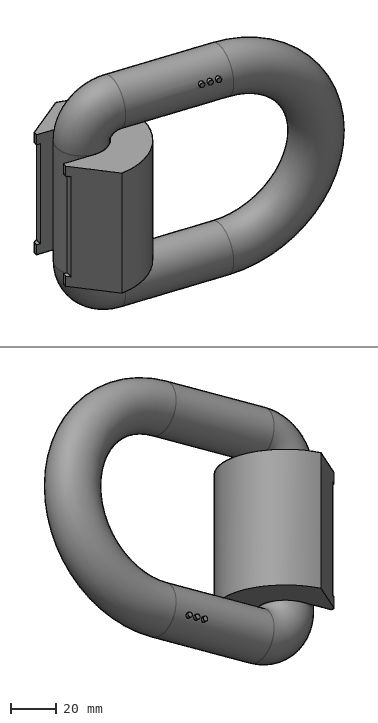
import cadquery as cq
import math


bar_diameter = 25.0
bar_radius = bar_diameter / 2
ring_height = 120.0
leg_z = ring_height / 2 - bar_radius
corner_bend_radius = 15.5
leg_length = 53.8
bow_start_y = corner_bend_radius + leg_length

dot_diameter = 2.5
dot_pitch = 4.2
dot_count = 3
dot_middle_y = 57.7
dot_offset_from_leg = 4.5
dot_face_x = 12.9

block_height = 2 * (leg_z - corner_bend_radius)
block_width = 62.5
block_radius = 31.5
slot_half_width = 12.8
foot_y = -15.7
foot_width = 2.2
relief_depth = 1.9
relief_end_margin = 5.4


def make_ring_bar():
    """Round bar swept along the closed D-shaped centre line in the YZ plane."""
    bar_z = leg_z - corner_bend_radius
    bend_shift = corner_bend_radius * (1 - math.sqrt(0.5))
    centre_line = (
        cq.Workplane("YZ")
        .moveTo(bow_start_y, leg_z)
        .threePointArc((bow_start_y + leg_z, 0), (bow_start_y, -leg_z))
        .lineTo(corner_bend_radius, -leg_z)
        .threePointArc((bend_shift, -leg_z + bend_shift), (0, -bar_z))
        .lineTo(0, bar_z)
        .threePointArc((bend_shift, leg_z - bend_shift), (corner_bend_radius, leg_z))
        .close()
    )
    section = cq.Workplane("XZ", origin=(0, bow_start_y, leg_z)).circle(bar_radius)
    return section.sweep(centre_line)


def make_dots(side):
    """Row of dots: side +1 is the +X face of the upper leg, -1 the -X face of the lower leg."""
    dot_z = side * (leg_z + dot_offset_from_leg)
    first_y = dot_middle_y - dot_pitch * (dot_count - 1) / 2
    centres = [(first_y + i * dot_pitch, dot_z) for i in range(dot_count)]
    root_x = side * bar_radius / 2
    depth = side * dot_face_x - root_x
    return (
        cq.Workplane("YZ", origin=(root_x, 0, 0))
        .pushPoints(centres)
        .circle(dot_diameter / 2)
        .extrude(depth)
    )


def make_ring():
    ring = make_ring_bar()
    for side in (1, -1):
        ring = ring.union(make_dots(side))
    return ring


def make_block():
    """Rounded saddle, open towards -Y, with two tapered feet."""
    half_width = block_width / 2
    shoulder_y = math.sqrt(block_radius**2 - half_width**2)
    foot_outer_x = slot_half_width + foot_width
    block = (
        cq.Workplane("XY")
        .moveTo(-half_width, shoulder_y)
        .threePointArc((0, block_radius), (half_width, shoulder_y))
        .lineTo(foot_outer_x, foot_y)
        .lineTo(slot_half_width, foot_y)
        .lineTo(slot_half_width, 0)
        .threePointArc((0, slot_half_width), (-slot_half_width, 0))
        .lineTo(-slot_half_width, foot_y)
        .lineTo(-foot_outer_x, foot_y)
        .close()
        .extrude(block_height / 2, both=True)
    )
    relief = cq.Workplane("XY").box(
        block_width, 2 * relief_depth, block_height - 2 * relief_end_margin
    )
    return block.cut(relief.translate((0, foot_y, 0)))


ring = make_ring()
block = make_block()

result = cq.Compound.makeCompound([ring.val(), block.val()])